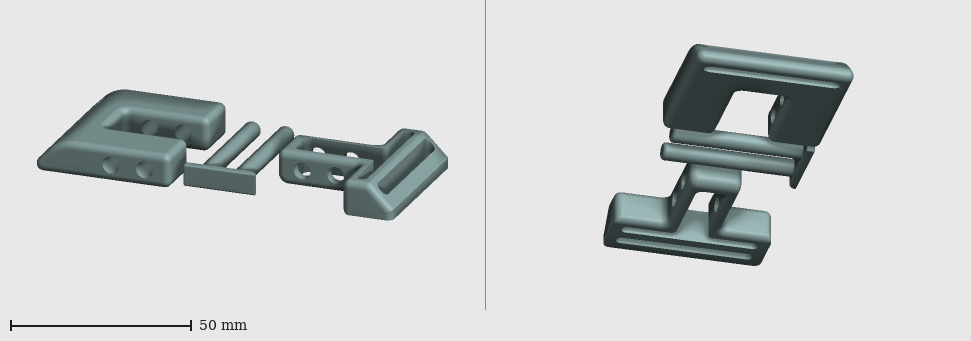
import cadquery as cq

overall_length = 106.0
width = 45.0
height = 10.0
half_length = 40.0
edge_radius = 2.0
nose_height = 3.0

pin_diameter = 5.0
pin_pitch = 10.0
tongue_length = 25.0
tongue_width = 15.0
hole_inset = 7.5

channel_start = 15.0
channel_corner_radius = 2.0
slope_blend_radius = 10.0
socket_slot_offset = 3.1
socket_slot_width = 3.0
socket_slot_end = 2.0

slot_length = 39.0
slot_width = 3.0

tongue_start = overall_length - half_length
bar_start = tongue_start + tongue_length
tongue_tip_bottom_radius = 3.0
window_wall = 3.0
window_tip_wall = 4.0
window_corner_radius = 2.0
window_mouth_radius = 1.5
inner_slot_offset = 3.1
outer_slot_offset = 9.0

plate_start = 44.0
plate_length = 21.2
plate_thickness = 2.5
plate_height = 6.4
plate_nose = 1.4
plate_blend_radius = 3.5
plate_edge_radius = 0.5
first_pin_x = 49.5
pin_reach = 40.0
pin_tip_radius = 1.0

slope_run = height - nose_height
front_y = -width / 2
pin_axis_z = height / 2


def plan_box(x_start, length, box_width):
    """A full-height box, centred on Y = 0, that starts at x_start."""
    return (
        cq.Workplane("XY")
        .box(length, box_width, height, centered=(False, True, False))
        .translate((x_start, 0, 0))
    )


def strap_slot(x_start, slot_size, end_reach):
    """A vertical cutter with elliptical ends that runs across the width."""
    end_y = slot_length / 2 - end_reach
    body = plan_box(x_start, slot_size, 2 * end_y)
    for y in (-end_y, end_y):
        end = (
            cq.Workplane("XY")
            .center(x_start + slot_size / 2, y)
            .ellipse(slot_size / 2, end_reach)
            .extrude(height)
        )
        body = body.union(end)
    return body


def pin_holes(first_x, depth):
    """Two cutters that run from the front side toward +Y."""
    return (
        cq.Workplane("XZ", origin=(0, front_y, 0))
        .pushPoints([(first_x, pin_axis_z), (first_x + pin_pitch, pin_axis_z)])
        .circle(pin_diameter / 2)
        .extrude(-depth)
    )


def make_socket():
    body = (
        cq.Workplane("XZ", origin=(0, width / 2, 0))
        .polyline([
            (0, 0),
            (half_length, 0),
            (half_length, height),
            (slope_run, height),
            (0, nose_height),
        ])
        .close()
        .extrude(width)
    )
    slope_top = cq.selectors.NearestToPointSelector((slope_run, 0, height))
    body = body.edges(slope_top).fillet(slope_blend_radius)
    channel = plan_box(channel_start, half_length, tongue_width)
    channel = channel.edges("|Z and <X").fillet(channel_corner_radius)
    body = body.cut(channel)
    body = body.edges().fillet(edge_radius)
    body = body.cut(strap_slot(socket_slot_offset, socket_slot_width, socket_slot_end))
    return body.cut(pin_holes(channel_start + hole_inset, pin_reach))


def tongue_bar():
    """The crossbar, with its far side cut down by the slope."""
    return (
        cq.Workplane("XZ", origin=(0, width / 2, 0))
        .polyline([
            (bar_start, 0),
            (overall_length, 0),
            (overall_length, nose_height),
            (overall_length - slope_run, height),
            (bar_start, height),
        ])
        .close()
        .extrude(width)
    )


def tongue_window():
    """The cutter for the opening that joins the tongue's pocket to the inner slot."""
    window_start = tongue_start + window_tip_wall
    slot_start = bar_start + inner_slot_offset
    window_length = slot_start + slot_width / 2 - window_start
    window = plan_box(window_start, window_length, tongue_width - 2 * window_wall)
    window = window.edges("|Z and <X").fillet(window_corner_radius)
    window = window.union(strap_slot(slot_start, slot_width, slot_width / 2))
    mouth_y = tongue_width / 2 - window_wall
    for y in (-mouth_y, mouth_y):
        mouth_corner = cq.selectors.NearestToPointSelector((slot_start, y, height / 2))
        window = window.edges("|Z").edges(mouth_corner).fillet(window_mouth_radius)
    return window


def make_tongue():
    stem = plan_box(tongue_start, tongue_length, tongue_width)
    stem = stem.edges("<X and <Z").fillet(tongue_tip_bottom_radius)
    body = tongue_bar().union(stem)
    sharp_underside = cq.selectors.BoxSelector(
        (bar_start + edge_radius, -width, -edge_radius),
        (overall_length + edge_radius, width, edge_radius / 2),
    )
    slope_foot = cq.selectors.NearestToPointSelector((overall_length, 0, nose_height))
    rounded = cq.selectors.SubtractSelector(
        cq.selectors.InverseSelector(sharp_underside), slope_foot
    )
    body = body.edges(rounded).fillet(edge_radius)
    body = body.cut(tongue_window())
    body = body.cut(strap_slot(bar_start + outer_slot_offset, slot_width, slot_width / 2))
    return body.cut(pin_holes(tongue_start + hole_inset, width))


def pin_plate():
    """The pin's head, with a blended 45 degree slope at its +X end."""
    plate_end = plate_start + plate_length
    slope_start_x = plate_end - plate_thickness + plate_nose
    plate = (
        cq.Workplane("XY", origin=(0, front_y, pin_axis_z - plate_height / 2))
        .polyline([
            (plate_start, 0),
            (plate_end, 0),
            (plate_end, plate_nose),
            (slope_start_x, plate_thickness),
            (plate_start, plate_thickness),
        ])
        .close()
        .extrude(plate_height)
    )
    slope_top = cq.selectors.NearestToPointSelector(
        (slope_start_x, front_y + plate_thickness, pin_axis_z)
    )
    plate = plate.edges(slope_top).fillet(plate_blend_radius)
    return plate.edges("not (>X or (|Z and (not <X)))").fillet(plate_edge_radius)


def make_pin():
    prongs = (
        cq.Workplane("XZ", origin=(0, front_y + plate_thickness, 0))
        .pushPoints([(first_pin_x, pin_axis_z), (first_pin_x + pin_pitch, pin_axis_z)])
        .circle(pin_diameter / 2)
        .extrude(plate_thickness - pin_reach)
        .faces(">Y").edges().fillet(pin_tip_radius)
    )
    return pin_plate().union(prongs)


socket = make_socket()
tongue = make_tongue()
pin = make_pin()
result = cq.Compound.makeCompound([socket.val(), tongue.val(), pin.val()])